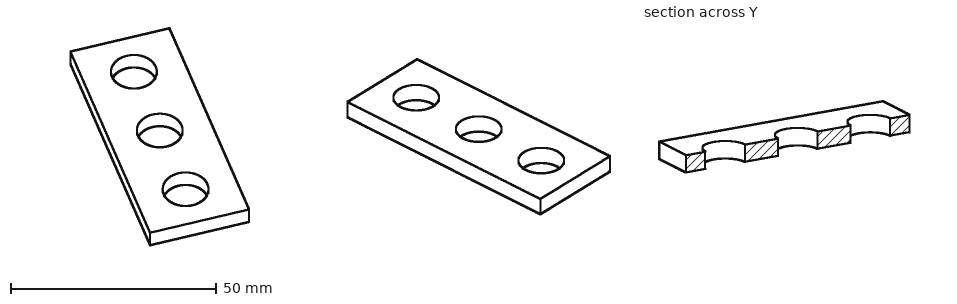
import cadquery as cq

length = 63.5
width = 25.4
thickness = 4.5
hole_diameter = 11.2
hole_spacing = 20.6
hole_count = 3

plate = cq.Workplane("XY").box(length, width, thickness)

result = (
    plate.faces(">Z")
    .workplane()
    .rarray(hole_spacing, width, hole_count, 1)
    .hole(hole_diameter)
)